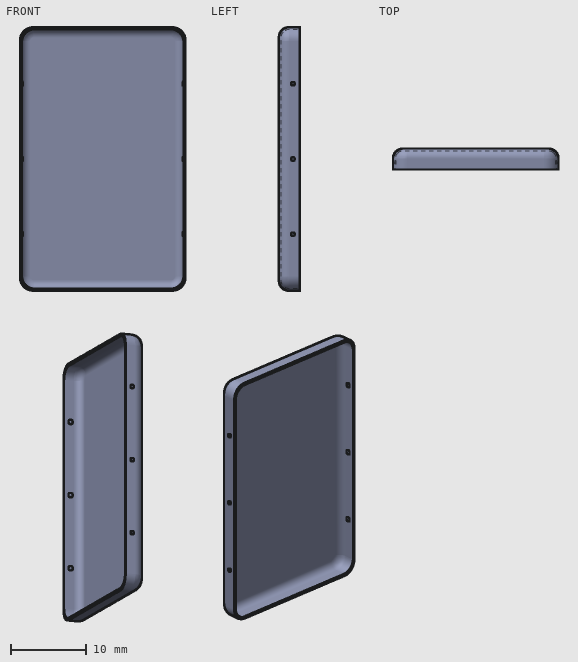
import cadquery as cq
import math

height = 35.1
width = 22.08
depth = 2.8
wall = 0.3
corner_radius = 1.9
back_edge_radius = 1.4

dimple_diameter = 0.5
dimple_depth = 0.18
bump_diameter = 0.63
bump_height = 0.15
detent_spacing = 10.0
detent_from_rim = 0.9

front_y = -depth / 2
back_y = depth / 2
detent_y = front_y + detent_from_rim


def rounded_block(inset, front_y, back_y):
    """Block inset from the outer outline, with rounded corners and back edge."""
    return (
        cq.Workplane("XZ", origin=(0, back_y, 0))
        .rect(width - 2 * inset, height - 2 * inset)
        .extrude(back_y - front_y)
        .edges("|Y")
        .fillet(corner_radius - inset)
        .faces(">Y")
        .edges()
        .fillet(back_edge_radius - inset)
    )


def spherical_cap(side, base_x, z, diameter, rise):
    """Cap with its base at base_x, domed toward the tray centre; side is -1 or +1 along X."""
    base_radius = diameter / 2
    sphere_radius = (base_radius**2 + rise**2) / (2 * rise)
    half_angle = math.asin(base_radius / sphere_radius) / 2
    arc_middle = (
        -side * (rise - sphere_radius * (1 - math.cos(half_angle))),
        sphere_radius * math.sin(half_angle),
    )
    return (
        cq.Workplane("XZ", origin=(side * base_x, detent_y, z))
        .lineTo(0, base_radius)
        .threePointArc(arc_middle, (-side * rise, 0))
        .close()
        .revolve(360, (0, 0, 0), (1, 0, 0))
    )


result = rounded_block(0, front_y, back_y).cut(rounded_block(wall, front_y, back_y - wall))

outer_face_x = width / 2
inner_face_x = outer_face_x - wall
for side in (-1, 1):
    for row in (-1, 0, 1):
        detent_z = row * detent_spacing
        bump = spherical_cap(side, inner_face_x, detent_z, bump_diameter, bump_height)
        dimple = spherical_cap(side, outer_face_x, detent_z, dimple_diameter, dimple_depth)
        result = result.union(bump).cut(dimple)